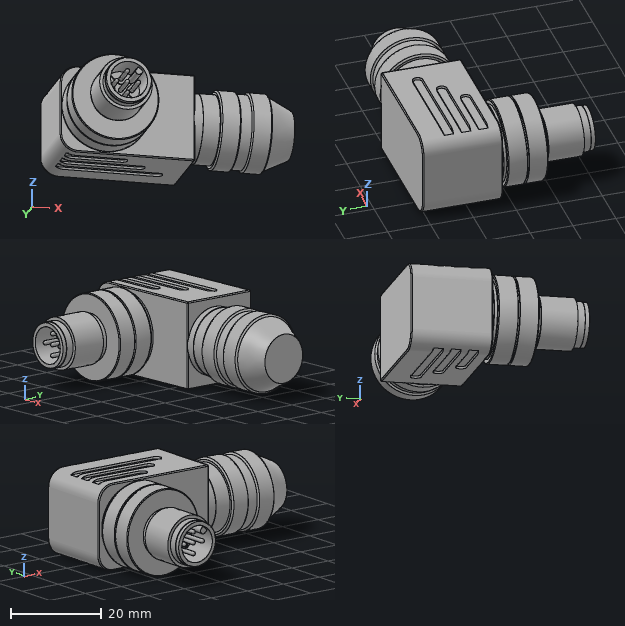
import cadquery as cq
import math


BLOCK_HEIGHT = 20.0
BLOCK_LEFT = -10.0
BLOCK_RIGHT = 20.85
BLOCK_FRONT = -7.9
BLOCK_BACK = 10.8
CORNER_RADIUS = 4.0
EDGE_CHAMFER = 0.25

PLUG_BOSS_RADIUS = 9.1
PLUG_BOSS_LENGTH = 0.5
CABLE_BOSS_RADIUS = 7.85
CABLE_BOSS_LENGTH = 1.9
BOSS_ROOT = 1.1

SLOT_WIDTH = 2.4
SLOT_DEPTH = 0.5
SLOT_DRAFT = 15.0
SLOT_PITCH = 4.0
SLOT_LONGEST_END = 16.3
SLOT_END_STEP = 5.0
SLOT_COUNT = 3

COUPLING_START = BLOCK_FRONT - PLUG_BOSS_LENGTH
COLLAR_RADIUS = 8.95
COLLAR_LENGTH = 0.7
RING_RADIUS = 10.0
RING_LENGTH = 9.4
RING_CHAMFER = 0.2
RING_GROOVE_START = 4.55
RING_GROOVE_WIDTH = 0.45
RING_GROOVE_DEPTH = 0.5
RELIEF_RADIUS = 5.55
RELIEF_LENGTH = 1.35
THREAD_RADIUS = 6.0
THREAD_LENGTH = 8.3
NOSE_RADIUS = 5.25
NOSE_LENGTH = 1.85
LIP_RADIUS = 5.15
LIP_LENGTH = 1.05

SOCKET_RADIUS = 4.25
SOCKET_DEPTH = 7.6
PIN_RADIUS = 0.5
PIN_OFFSET = 2.5
PIN_TIP_SETBACK = 1.0
PIN_CLEARANCE_RADIUS = 1.15
CROSS_REACH = 3.85
CROSS_DEPTH = 0.3
KEY_RADIUS = 0.75
KEY_OFFSET = 3.5
KEY_SETBACK = 1.05
INSERT_ROOT = 0.55

NUT_START = BLOCK_RIGHT + CABLE_BOSS_LENGTH
SLEEVE_RADIUS = 8.0
SLEEVE_LENGTH = 3.85
BAND_RADIUS = 9.0
BAND_WIDTH = 4.65
BAND_GAP = 2.5
BAND_EDGE_LENGTH = 0.3
GAP_RADIUS = 8.5
TAPER_LENGTH = 5.55
TAPER_END_RADIUS = 5.8
TIP_LENGTH = 0.3
TIP_RADIUS = 5.6


def cylinder_y(radius, start, end):
    """Cylinder about the plug axis from y = start toward -Y down to y = end."""
    return cq.Workplane("XZ", origin=(0, start, 0)).circle(radius).extrude(start - end)


def make_slot(index):
    """Drafted cutter for one slot in the upper face; slot 0 is the longest, at the back."""
    half_width = SLOT_WIDTH / 2
    start = BLOCK_LEFT - SLOT_WIDTH
    arc_center = SLOT_LONGEST_END - index * SLOT_END_STEP - half_width
    center_y = ((SLOT_COUNT - 1) / 2 - index) * SLOT_PITCH
    return (
        cq.Workplane("XY", origin=(0, center_y, BLOCK_HEIGHT / 2))
        .moveTo(start, half_width)
        .lineTo(arc_center, half_width)
        .threePointArc((arc_center + half_width, 0), (arc_center, -half_width))
        .lineTo(start, -half_width)
        .close()
        .extrude(-SLOT_DEPTH, taper=SLOT_DRAFT)
    )


def make_housing():
    block = (
        cq.Workplane("XY")
        .box(BLOCK_RIGHT - BLOCK_LEFT, BLOCK_BACK - BLOCK_FRONT, BLOCK_HEIGHT)
        .translate(((BLOCK_LEFT + BLOCK_RIGHT) / 2, (BLOCK_FRONT + BLOCK_BACK) / 2, 0))
        .edges("|Y and <X").fillet(CORNER_RADIUS)
        .faces("<Y or >Y or >X").edges().chamfer(EDGE_CHAMFER)
    )
    for index in range(SLOT_COUNT):
        slot = make_slot(index)
        block = block.cut(slot).cut(slot.mirror("XY"))
    plug_boss = cylinder_y(PLUG_BOSS_RADIUS, BLOCK_FRONT + BOSS_ROOT, COUPLING_START)
    cable_boss = (
        cq.Workplane("YZ", origin=(BLOCK_RIGHT - BOSS_ROOT, 0, 0))
        .circle(CABLE_BOSS_RADIUS)
        .extrude(BOSS_ROOT + CABLE_BOSS_LENGTH)
    )
    return block.union(plug_boss).union(cable_boss)


def make_pin(x, z, base, tip):
    """Contact pin with a hemispherical tip, reaching from y = base to y = tip."""
    dome_center = tip + PIN_RADIUS
    shaft = cylinder_y(PIN_RADIUS, base, dome_center)
    dome = cq.Workplane("XY").sphere(PIN_RADIUS).translate((0, dome_center, 0))
    return shaft.union(dome).translate((x, 0, z))


def make_cross(floor):
    """Diagonal cross recessed into the socket floor, its inner corners rounded about the pins."""
    arm_width = 2 * (PIN_OFFSET / math.sqrt(2) - PIN_CLEARANCE_RADIUS)
    bar = cq.Workplane("XY").box(2 * CROSS_REACH, CROSS_DEPTH, arm_width)
    cross = bar.union(bar.rotate((0, 0, 0), (0, 1, 0), 90))
    inner_corners = cq.selectors.BoxSelector(
        (-arm_width, -CROSS_DEPTH, -arm_width), (arm_width, CROSS_DEPTH, arm_width)
    )
    cross = cross.edges("|Y").edges(inner_corners).fillet(PIN_CLEARANCE_RADIUS)
    return cross.rotate((0, 0, 0), (0, 1, 0), 45).translate((0, floor + CROSS_DEPTH / 2, 0))


def make_key(floor, mouth):
    """Round-nosed coding key on the socket wall, in the +X +Z quadrant."""
    web_length = SOCKET_RADIUS + INSERT_ROOT - KEY_OFFSET
    base = floor + INSERT_ROOT
    top = mouth + KEY_SETBACK
    nose = cylinder_y(KEY_RADIUS, base, top)
    web = (
        cq.Workplane("XZ", origin=(0, base, 0))
        .center(web_length / 2, 0)
        .rect(web_length, 2 * KEY_RADIUS)
        .extrude(base - top)
    )
    return nose.union(web).translate((KEY_OFFSET, 0, 0)).rotate((0, 0, 0), (0, 1, 0), -45)


def make_coupling():
    ring_start = COUPLING_START - COLLAR_LENGTH
    ring_end = ring_start - RING_LENGTH
    thread_start = ring_end - RELIEF_LENGTH
    thread_end = thread_start - THREAD_LENGTH
    lip_start = thread_end - NOSE_LENGTH
    mouth = lip_start - LIP_LENGTH
    floor = mouth + SOCKET_DEPTH

    ring = cylinder_y(RING_RADIUS, ring_start, ring_end).edges().chamfer(RING_CHAMFER)
    groove_start = ring_start - RING_GROOVE_START
    groove_end = groove_start - RING_GROOVE_WIDTH
    groove = cylinder_y(RING_RADIUS + RING_GROOVE_DEPTH, groove_start, groove_end).cut(
        cylinder_y(RING_RADIUS - RING_GROOVE_DEPTH, groove_start, groove_end)
    )
    coupling = (
        ring.cut(groove)
        .union(cylinder_y(COLLAR_RADIUS, COUPLING_START, ring_start))
        .union(cylinder_y(RELIEF_RADIUS, ring_end, thread_start))
        .union(cylinder_y(THREAD_RADIUS, thread_start, thread_end))
        .union(cylinder_y(NOSE_RADIUS, thread_end, lip_start))
        .union(cylinder_y(LIP_RADIUS, lip_start, mouth))
        .cut(cylinder_y(SOCKET_RADIUS, floor, mouth))
        .cut(make_cross(floor))
        .union(make_key(floor, mouth))
    )
    pin_places = [(0, 0), (PIN_OFFSET, 0), (-PIN_OFFSET, 0), (0, PIN_OFFSET), (0, -PIN_OFFSET)]
    for x, z in pin_places:
        coupling = coupling.union(make_pin(x, z, floor + INSERT_ROOT, mouth + PIN_TIP_SETBACK))
    return coupling


def make_cable_nut():
    band_1 = NUT_START + SLEEVE_LENGTH
    band_2 = band_1 + BAND_WIDTH + BAND_GAP
    taper_start = band_2 + BAND_WIDTH
    taper_end = taper_start + TAPER_LENGTH
    tip = taper_end + TIP_LENGTH
    outline = [(NUT_START, 0), (NUT_START, SLEEVE_RADIUS), (band_1, SLEEVE_RADIUS)]
    for start in (band_1, band_2):
        end = start + BAND_WIDTH
        outline += [
            (start, GAP_RADIUS),
            (start + BAND_EDGE_LENGTH, BAND_RADIUS),
            (end - BAND_EDGE_LENGTH, BAND_RADIUS),
            (end, GAP_RADIUS),
        ]
    outline += [
        (taper_end, TAPER_END_RADIUS),
        (tip, TIP_RADIUS),
        (tip, 0),
    ]
    return cq.Workplane("XY").polyline(outline).close().revolve(360, (0, 0, 0), (1, 0, 0))


housing = make_housing()
coupling = make_coupling()
cable_nut = make_cable_nut()

result = cq.Compound.makeCompound([housing.val(), coupling.val(), cable_nut.val()])